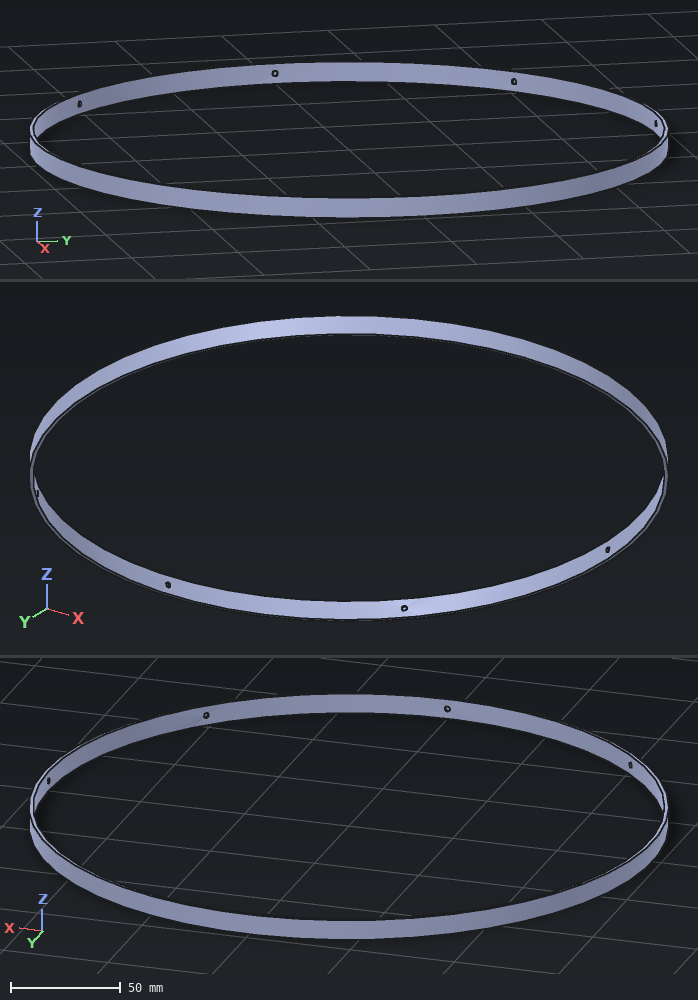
import cadquery as cq

outer_diameter = 292.0
inner_diameter = 288.0
band_height = 9.5
hole_diameter = 2.42
hole_count = 8

wall_thickness = (outer_diameter - inner_diameter) / 2
hole_depth = wall_thickness / 2
hole_floor_radius = inner_diameter / 2 + hole_depth
hole_spacing = 360 / hole_count


def make_band():
    """Ring centred on the origin, with its axis along Z."""
    return (
        cq.Workplane("XY", origin=(0, 0, -band_height / 2))
        .circle(outer_diameter / 2)
        .circle(inner_diameter / 2)
        .extrude(band_height)
    )


def make_radial_drill(angle):
    """Cylinder from the ring axis outward to the floor of a blind hole."""
    drill = cq.Workplane("YZ").circle(hole_diameter / 2).extrude(hole_floor_radius)
    return drill.rotate((0, 0, 0), (0, 0, 1), angle)


result = make_band()
for index in range(hole_count):
    result = result.cut(make_radial_drill(index * hole_spacing))